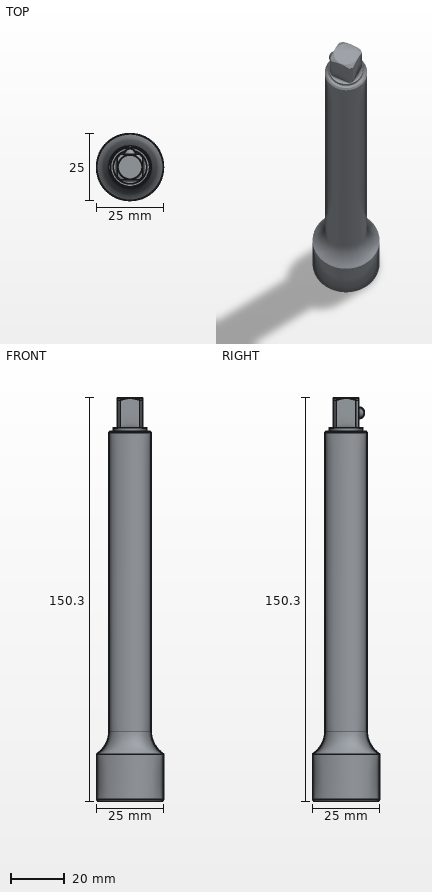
import cadquery as cq
import math

total_length = 150.3
head_height = 17.6
flare_top = 26.0
shoulder_level = 138.0
drive_base = 139.2

head_diameter = 25.0
shank_diameter = 15.8
neck_diameter = 12.5

head_chamfer_width = 0.5
head_chamfer_height = 0.8
shoulder_chamfer = 0.6

drive_width = 9.5
drive_corner_cut = 1.0
drive_top_diameter = 9.0
drive_top_angle = 30.0

ball_diameter = 4.4
ball_projection = 2.1

head_radius = head_diameter / 2
shank_radius = shank_diameter / 2
neck_radius = neck_diameter / 2
ball_radius = ball_diameter / 2
drive_height = total_length - drive_base


def make_turned_body():
    """Socket head, flare, shank and neck, revolved about Z."""
    flare_width = head_radius - shank_radius
    flare_height = flare_top - head_height
    flare_radius = (flare_width**2 + flare_height**2) / (2 * flare_width)
    half_sweep = math.asin(flare_height / flare_radius) / 2
    flare_middle = (
        shank_radius + flare_radius * (1 - math.cos(half_sweep)),
        flare_top - flare_radius * math.sin(half_sweep),
    )
    return (
        cq.Workplane("XZ")
        .moveTo(0, 0)
        .lineTo(head_radius - head_chamfer_width, 0)
        .lineTo(head_radius, head_chamfer_height)
        .lineTo(head_radius, head_height)
        .threePointArc(flare_middle, (shank_radius, flare_top))
        .lineTo(shank_radius, shoulder_level - shoulder_chamfer)
        .lineTo(shank_radius - shoulder_chamfer, shoulder_level)
        .lineTo(neck_radius, shoulder_level)
        .lineTo(neck_radius, drive_base)
        .lineTo(0, drive_base)
        .close()
        .revolve(360, (0, 0, 0), (0, 1, 0))
    )


def make_drive():
    """Square drive with flat-cut corners and a conical chamfer on its top."""
    square = (
        cq.Workplane("XY", origin=(0, 0, drive_base))
        .rect(drive_width, drive_width)
        .extrude(drive_height)
        .edges("|Z")
        .chamfer(drive_corner_cut)
    )
    top_radius = drive_top_diameter / 2
    cone_slope = math.tan(math.radians(drive_top_angle))
    envelope_radius = drive_width
    cone_base = total_length - (envelope_radius - top_radius) * cone_slope
    envelope = (
        cq.Workplane("XZ")
        .moveTo(0, drive_base)
        .lineTo(envelope_radius, drive_base)
        .lineTo(envelope_radius, cone_base)
        .lineTo(top_radius, total_length)
        .lineTo(0, total_length)
        .close()
        .revolve(360, (0, 0, 0), (0, 1, 0))
    )
    return square.intersect(envelope)


def make_ball():
    """Detent ball, halfway up the drive end."""
    ball_y = drive_width / 2 + ball_projection - ball_radius
    ball_z = drive_base + drive_height / 2
    return cq.Workplane("XY", origin=(0, ball_y, ball_z)).sphere(ball_radius)


def make_extension_bar():
    """One-piece bar with a spherical seat that fits the detent ball."""
    return make_turned_body().union(make_drive()).cut(make_ball())


extension_bar = make_extension_bar()
detent_ball = make_ball()

result = cq.Compound.makeCompound([extension_bar.val(), detent_ball.val()])